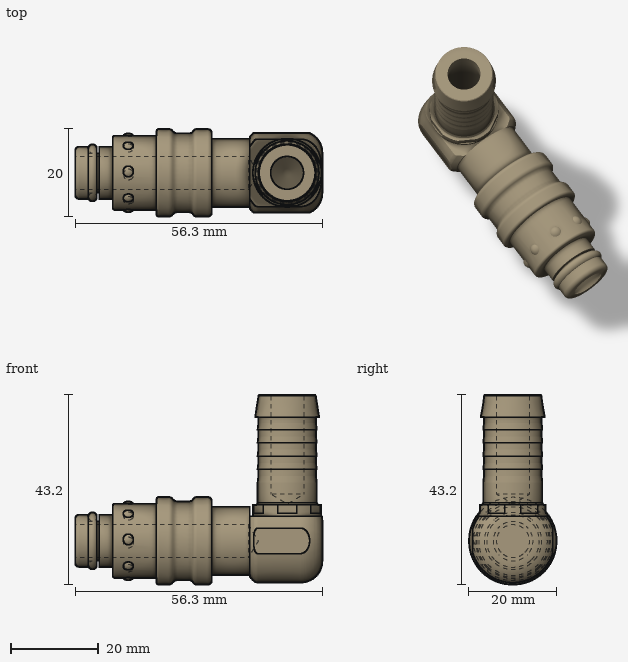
import cadquery as cq
import math


BORE_RADIUS = 7.5 / 2
DRILL_TIP_ANGLE = 118.0

NOSE_RADIUS = 11.95 / 2
NOSE_ROUND = 0.95
GROOVE_START = 3.0
GROOVE_END = 5.45
GROOVE_RADIUS = 9.0 / 2
RING_RADIUS = 13.0 / 2

BODY_START = 8.55
BODY_RADIUS = 16.95 / 2
BODY_ROUND = 0.5
BUMP_COUNT = 8
BUMP_PHASE = -2.2
BUMP_X = 12.1
BUMP_TOP_RADIUS = 9.0
BUMP_BALL_RADIUS = 1.5

FLANGE_RADIUS = 20.0 / 2
WAIST_RADIUS = 18.0 / 2
FLANGE_START = 18.5
FLANGE_ROUND = 0.55
FRONT_FLANGE_END = 21.3
SHOULDER_ROUND = 1.1
WAIST_FILLET = 1.0
WAIST_END = 26.0
REAR_FLANGE_START = 27.7
SLEEVE_END = 31.15
SLEEVE_END_ROUND = 1.0
NECK_RADIUS = 15.6 / 2

BLOCK_START = 39.75
BLOCK_END = 56.3
BLOCK_RADIUS = 9.5
BLOCK_CHAMFER = 1.3
BLOCK_CHAMFER_BLEND = 1.1
BLOCK_END_ROUND = 5.0
BLOCK_FLAT_Y = 9.05
BLOCK_TOP = 5.65

BARB_X = 48.25
BARB_TOP = 43.2 - FLANGE_RADIUS
COLLAR_RADIUS = NECK_RADIUS
COLLAR_TOP = 8.15
COLLAR_ACROSS_FLATS = 15.0
COLLAR_FLATS_START = 6.25
SHOULDER_RADIUS = 7.05
SHOULDER_TOP = 8.6
BARB_RADIUS = 13.5 / 2
BARB_ROOT_RADIUS = 6.6
TOOTH_COUNT = 5
FIRST_TOOTH = 13.25
LAST_TOOTH_END = 26.8
TOOTH_HEIGHT = (LAST_TOOTH_END - FIRST_TOOTH) / (2 * TOOTH_COUNT - 1)
TOOTH_PITCH = 2 * TOOTH_HEIGHT
HEAD_RADIUS = 7.25
HEAD_START = 28.15
HEAD_LIP = 0.3
HEAD_TOP_RADIUS = 6.55
HEAD_CHAMFER = 0.15

PLUG_BORE_DEPTH = 39.4
BARB_BORE_DEPTH = 22.5

X_AXIS = ((0, 0, 0), (1, 0, 0))
PROFILE_Z_AXIS = ((0, 0, 0), (0, 1, 0))
DIAGONAL = math.sqrt(0.5)


def make_plug():
    """Revolved plug from the nose tip to the face of the elbow block."""
    slope_start = (FRONT_FLANGE_END + SHOULDER_ROUND * DIAGONAL,
                   FLANGE_RADIUS - SHOULDER_ROUND * (1 - DIAGONAL))
    fillet_top_radius = WAIST_RADIUS + WAIST_FILLET * (1 - DIAGONAL)
    slope_drop = slope_start[1] - fillet_top_radius
    slope_end = (slope_start[0] + slope_drop, fillet_top_radius)
    waist_start = slope_end[0] + WAIST_FILLET * DIAGONAL
    rear_middle = ((WAIST_END + REAR_FLANGE_START) / 2, (WAIST_RADIUS + FLANGE_RADIUS) / 2)

    outline = (
        cq.Workplane("XZ")
        .moveTo(0, 0)
        .lineTo(0, NOSE_RADIUS - NOSE_ROUND)
        .radiusArc((NOSE_ROUND, NOSE_RADIUS), NOSE_ROUND)
        .lineTo(GROOVE_START, NOSE_RADIUS)
        .lineTo(GROOVE_START, GROOVE_RADIUS)
        .lineTo(GROOVE_END, GROOVE_RADIUS)
        .lineTo(GROOVE_END, NOSE_RADIUS)
        .lineTo(BODY_START, NOSE_RADIUS)
        .lineTo(BODY_START, BODY_RADIUS - BODY_ROUND)
        .radiusArc((BODY_START + BODY_ROUND, BODY_RADIUS), BODY_ROUND)
        .lineTo(FLANGE_START, BODY_RADIUS)
        .lineTo(FLANGE_START, FLANGE_RADIUS - FLANGE_ROUND)
        .radiusArc((FLANGE_START + FLANGE_ROUND, FLANGE_RADIUS), FLANGE_ROUND)
        .lineTo(FRONT_FLANGE_END, FLANGE_RADIUS)
        .radiusArc(slope_start, SHOULDER_ROUND)
        .lineTo(*slope_end)
        .radiusArc((waist_start, WAIST_RADIUS), -WAIST_FILLET)
        .lineTo(WAIST_END, WAIST_RADIUS)
        .tangentArcPoint(rear_middle, relative=False)
        .tangentArcPoint((REAR_FLANGE_START, FLANGE_RADIUS), relative=False)
        .lineTo(SLEEVE_END - SLEEVE_END_ROUND, FLANGE_RADIUS)
        .radiusArc((SLEEVE_END, FLANGE_RADIUS - SLEEVE_END_ROUND), SLEEVE_END_ROUND)
        .lineTo(SLEEVE_END, NECK_RADIUS)
        .lineTo(BLOCK_START, NECK_RADIUS)
        .lineTo(BLOCK_START, 0)
        .close()
    )
    return outline.revolve(360, *X_AXIS)


def make_bump(angle):
    """One locking ball, embedded in the plug body."""
    return (
        cq.Workplane("XY")
        .sphere(BUMP_BALL_RADIUS)
        .translate((BUMP_X, 0, BUMP_TOP_RADIUS - BUMP_BALL_RADIUS))
        .rotate(*X_AXIS, angle)
    )


def make_block():
    """Round elbow block with two side flats and a flat top."""
    length = BLOCK_END - BLOCK_START
    chamfer_rim = (BLOCK_START + BLOCK_CHAMFER, 0, 0)
    block = (
        cq.Workplane("YZ", origin=(BLOCK_START, 0, 0))
        .circle(BLOCK_RADIUS)
        .extrude(length)
        .faces("<X").edges().chamfer(BLOCK_CHAMFER)
        .faces(">X").edges().fillet(BLOCK_END_ROUND)
        .edges(cq.selectors.NearestToPointSelector(chamfer_rim)).fillet(BLOCK_CHAMFER_BLEND)
    )
    envelope = cq.Workplane("XY").box(
        length, 2 * BLOCK_FLAT_Y, BLOCK_RADIUS + BLOCK_TOP, centered=(False, True, False)
    ).translate((BLOCK_START, 0, -BLOCK_RADIUS))
    return block.intersect(envelope)


def make_collar():
    """Round collar whose upper part is trimmed by hexagon flats."""
    collar = cq.Workplane("XY").circle(COLLAR_RADIUS).extrude(COLLAR_TOP)
    hexagon_diameter = COLLAR_ACROSS_FLATS / math.cos(math.pi / 6)
    trim = (
        cq.Workplane("XY", origin=(0, 0, COLLAR_FLATS_START))
        .circle(2 * COLLAR_RADIUS)
        .polygon(6, hexagon_diameter)
        .extrude(COLLAR_TOP - COLLAR_FLATS_START)
    )
    block_space = cq.Workplane("XY").circle(2 * COLLAR_RADIUS).extrude(BLOCK_TOP)
    return collar.cut(trim).cut(block_space)


def make_barb():
    """Revolved hose barb with its teeth, from the block top to the head."""
    outline = (
        cq.Workplane("XZ")
        .moveTo(0, BLOCK_TOP)
        .lineTo(SHOULDER_RADIUS, BLOCK_TOP)
        .lineTo(SHOULDER_RADIUS, COLLAR_TOP)
        .lineTo(BARB_RADIUS, SHOULDER_TOP)
        .lineTo(BARB_RADIUS, FIRST_TOOTH)
    )
    for tooth in range(TOOTH_COUNT):
        tooth_start = FIRST_TOOTH + tooth * TOOTH_PITCH
        if tooth > 0:
            outline = outline.lineTo(BARB_ROOT_RADIUS, tooth_start).lineTo(BARB_RADIUS, tooth_start)
        outline = outline.lineTo(BARB_ROOT_RADIUS, tooth_start + TOOTH_HEIGHT)
    outline = (
        outline
        .lineTo(BARB_ROOT_RADIUS, HEAD_START)
        .lineTo(HEAD_RADIUS, HEAD_START)
        .lineTo(HEAD_RADIUS, HEAD_START + HEAD_LIP)
        .lineTo(HEAD_TOP_RADIUS, BARB_TOP - HEAD_CHAMFER)
        .lineTo(HEAD_TOP_RADIUS - HEAD_CHAMFER, BARB_TOP)
        .lineTo(0, BARB_TOP)
        .close()
    )
    return outline.revolve(360, *PROFILE_Z_AXIS)


def make_bore(depth):
    """Drilled bore along +Z from the origin, with a conical tip beyond its depth."""
    tip_length = BORE_RADIUS / math.tan(math.radians(DRILL_TIP_ANGLE / 2))
    return (
        cq.Workplane("XZ")
        .polyline([(0, 0), (BORE_RADIUS, 0), (BORE_RADIUS, depth), (0, depth + tip_length)])
        .close()
        .revolve(360, *PROFILE_Z_AXIS)
    )


def make_housing():
    """Plug, elbow block and hose barb as one solid with two blind bores."""
    housing = make_plug()
    for index in range(BUMP_COUNT):
        housing = housing.union(make_bump(BUMP_PHASE + index * 360 / BUMP_COUNT))
    housing = housing.union(make_block())
    riser = make_collar().union(make_barb()).translate((BARB_X, 0, 0))
    housing = housing.union(riser)

    plug_bore = make_bore(PLUG_BORE_DEPTH).rotate((0, 0, 0), (0, 1, 0), 90)
    barb_bore = (
        make_bore(BARB_BORE_DEPTH)
        .rotate(*X_AXIS, 180)
        .translate((BARB_X, 0, BARB_TOP))
    )
    return housing.cut(plug_bore).cut(barb_bore)


def make_seal_ring():
    """O-ring resting on the groove floor and against its front wall."""
    cord_radius = (RING_RADIUS - GROOVE_RADIUS) / 2
    return (
        cq.Workplane("XZ")
        .center(GROOVE_START + cord_radius, GROOVE_RADIUS + cord_radius)
        .circle(cord_radius)
        .revolve(360, (-0.55, -GROOVE_RADIUS - cord_radius), (0.55, -GROOVE_RADIUS - cord_radius))
    )


housing = make_housing()
seal_ring = make_seal_ring()
result = cq.Compound.makeCompound([housing.solids().val(), seal_ring.val()])